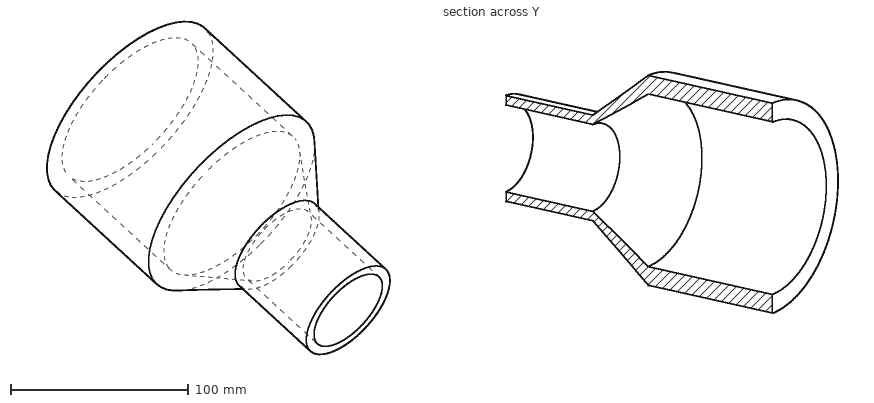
import cadquery as cq

total_length = 187.0
cone_start = 87.1
cone_end = 126.0

large_outer_diameter = 125.0
large_bore_diameter = 102.3
small_outer_diameter = 63.0
small_bore_diameter = 51.5


def stepped_cone(large_diameter, small_diameter):
    """Solid of revolution about X: large cylinder, cone, small cylinder."""
    large_radius = large_diameter / 2
    small_radius = small_diameter / 2
    return (
        cq.Workplane("XY")
        .lineTo(0, large_radius)
        .lineTo(cone_start, large_radius)
        .lineTo(cone_end, small_radius)
        .lineTo(total_length, small_radius)
        .lineTo(total_length, 0)
        .close()
        .revolve(360, (0, 0, 0), (1, 0, 0))
    )


body = stepped_cone(large_outer_diameter, small_outer_diameter)
bore = stepped_cone(large_bore_diameter, small_bore_diameter)
result = body.cut(bore)